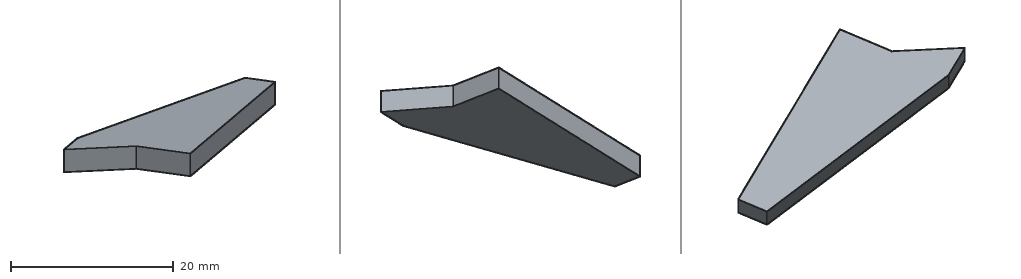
import cadquery as cq

width = 15.0
length = 32.5
thickness = 3.0

tip_width = 4.0
root_width = 7.18
spur_length = 4.5

root_y = spur_length
outline = [
    (0, 0),
    (width - root_width, root_y),
    (width, root_y),
    (width, length),
    (width - tip_width, length),
    (0, root_y),
]

result = cq.Workplane("XY").polyline(outline).close().extrude(thickness)